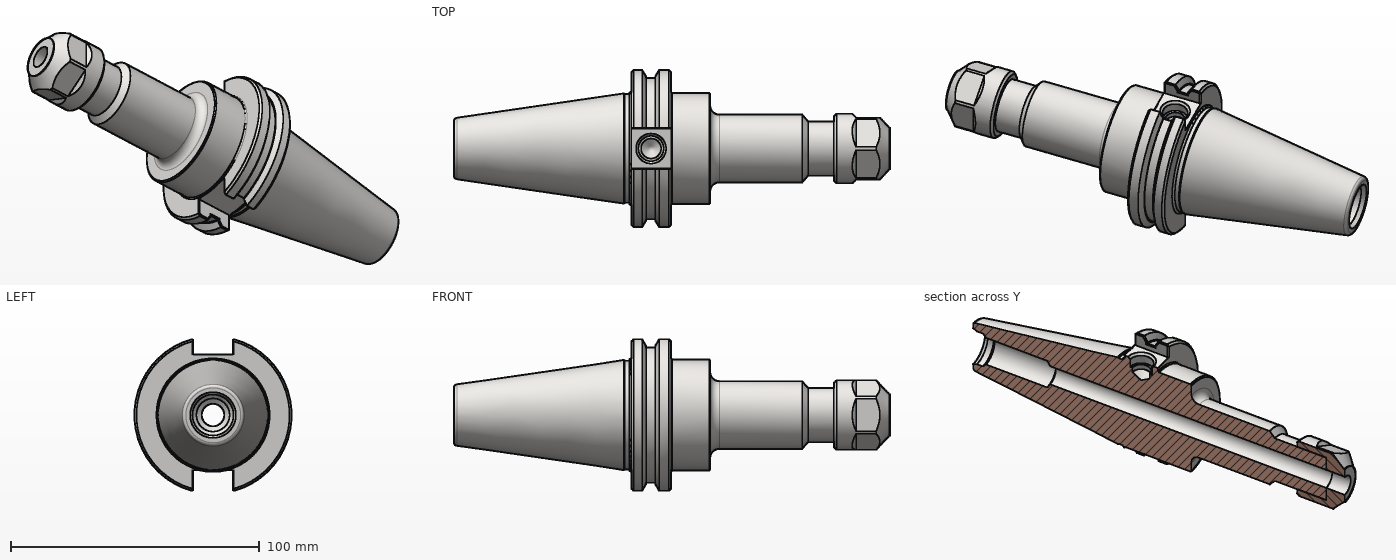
import cadquery as cq
import math

overall_length = 175.5

gauge_diameter = 44.4
taper_length = 68.3
taper_ratio = 7 / 24
taper_edge_fillet = 1.2

relief_diameter = 43.9
relief_start = 68.8
relief_fillet = 0.9

flange_diameter = 63.3
flange_start = 71.4
flange_width = 16.0
flange_end = flange_start + flange_width
flange_chamfer = 0.9
groove_center = 79.1
groove_mouth_width = 6.8
groove_floor_width = 3.7
groove_floor_diameter = 57.0
groove_flank_depth = 2.6

shoulder_diameter = 44.7
shoulder_end = 103.2
shoulder_root_fillet = 0.5
shoulder_chamfer = 0.5
shank_diameter = 27.4
shank_root_fillet = 3.5
shank_end = 142.5
shank_chamfer_length = 2.5
neck_diameter = 22.0
neck_end = 166.7

slot_width = 15.8
slot_edge_chamfer = 0.5
top_slot_floor = 24.4
bottom_slot_floor = 22.3

mouth_diameter = 18.5
mouth_depth = 2.0
counterbore_diameter = 16.5
counterbore_depth = 4.7
thread_lead_depth = 6.1
thread_bore_diameter = 13.3
thread_bore_depth = 35.1
through_diameter = 9.0
drill_half_angle = math.radians(59)

screw_x = 79.3
screw_mouth_diameter = 12.1
screw_hole_diameter = 10.2
screw_hole_depth = 4.7
screw_pilot_diameter = 8.0
screw_pilot_depth = 7.0

nut_diameter = 28.0
nut_start = 152.8
nut_back_chamfer = 1.0
nut_cone_start = 169.8
nut_front_diameter = 16.8
nut_front_land = 0.4
hex_across_flats = 25.0
hex_start = 161.8
hex_count = 6
hex_turn = 360 / hex_count
cutter_clearance = 1.8


def revolve_about_x(profile):
    """Turn a closed (x, radius) outline about the X axis."""
    return profile.close().revolve(360, (0, 0, 0), (1, 0, 0))


def drill_point(radius):
    """Length of a drill point that narrows by the given radius."""
    return radius / math.tan(drill_half_angle)


def turned_holder():
    gauge_radius = gauge_diameter / 2
    small_end_radius = gauge_radius - taper_length * taper_ratio / 2
    relief_radius = relief_diameter / 2
    flange_radius = flange_diameter / 2
    groove_floor_radius = groove_floor_diameter / 2
    groove_step_radius = flange_radius - groove_flank_depth
    shoulder_radius = shoulder_diameter / 2
    shank_radius = shank_diameter / 2
    neck_radius = neck_diameter / 2
    edge_start_radius = small_end_radius - taper_edge_fillet
    edge_end_radius = small_end_radius + taper_edge_fillet * taper_ratio / 2
    profile = (
        cq.Workplane("XY")
        .moveTo(0, 0)
        .lineTo(0, edge_start_radius)
        .tangentArcPoint((taper_edge_fillet, edge_end_radius), relative=False)
        .lineTo(taper_length, gauge_radius)
        .lineTo(relief_start, relief_radius)
        .lineTo(flange_start - relief_fillet, relief_radius)
        .radiusArc((flange_start, relief_radius + relief_fillet), relief_fillet)
        .lineTo(flange_start, flange_radius - flange_chamfer)
        .lineTo(flange_start + flange_chamfer, flange_radius)
        .lineTo(groove_center - groove_mouth_width / 2, flange_radius)
        .lineTo(groove_center - groove_floor_width / 2, groove_step_radius)
        .lineTo(groove_center - groove_floor_width / 2, groove_floor_radius)
        .lineTo(groove_center + groove_floor_width / 2, groove_floor_radius)
        .lineTo(groove_center + groove_floor_width / 2, groove_step_radius)
        .lineTo(groove_center + groove_mouth_width / 2, flange_radius)
        .lineTo(flange_end - flange_chamfer, flange_radius)
        .lineTo(flange_end, flange_radius - flange_chamfer)
        .lineTo(flange_end, shoulder_radius + shoulder_root_fillet)
        .radiusArc((flange_end + shoulder_root_fillet, shoulder_radius), -shoulder_root_fillet)
        .lineTo(shoulder_end - shoulder_chamfer, shoulder_radius)
        .lineTo(shoulder_end, shoulder_radius - shoulder_chamfer)
        .lineTo(shoulder_end, shank_radius + shank_root_fillet)
        .radiusArc((shoulder_end + shank_root_fillet, shank_radius), -shank_root_fillet)
        .lineTo(shank_end - shank_chamfer_length, shank_radius)
        .lineTo(shank_end, neck_radius)
        .lineTo(neck_end, neck_radius)
        .lineTo(neck_end, 0)
    )
    return revolve_about_x(profile)


def cut_drive_slots(holder):
    """Cut both slots and break every edge of their walls except those at the floors."""
    cutter_height = flange_diameter / 2
    for floor_height, layer in ((top_slot_floor, 0), (-bottom_slot_floor, -cutter_height)):
        cutter = cq.Workplane("XY").box(flange_width, slot_width, cutter_height, centered=(False, True, False))
        holder = holder.cut(cutter.translate((flange_start, 0, floor_height + layer)))

    def is_open_edge(edge):
        height = edge.Center().z
        return not (math.isclose(height, top_slot_floor) or math.isclose(height, -bottom_slot_floor))

    return holder.faces("|Y").edges().filter(is_open_edge).chamfer(slot_edge_chamfer)


def rear_bore():
    thread_radius = thread_bore_diameter / 2
    through_radius = through_diameter / 2
    profile = (
        cq.Workplane("XY")
        .moveTo(0, 0)
        .lineTo(0, mouth_diameter / 2)
        .lineTo(mouth_depth, counterbore_diameter / 2)
        .lineTo(counterbore_depth, counterbore_diameter / 2)
        .lineTo(thread_lead_depth, thread_radius)
        .lineTo(thread_bore_depth, thread_radius)
        .lineTo(thread_bore_depth + drill_point(thread_radius - through_radius), through_radius)
        .lineTo(neck_end, through_radius)
        .lineTo(neck_end, 0)
    )
    return revolve_about_x(profile)


def screw_hole():
    mouth_radius = screw_mouth_diameter / 2
    hole_radius = screw_hole_diameter / 2
    pilot_radius = screw_pilot_diameter / 2
    profile = (
        cq.Workplane("XZ")
        .moveTo(0, 0)
        .lineTo(mouth_radius, 0)
        .lineTo(hole_radius, hole_radius - mouth_radius)
        .lineTo(hole_radius, -screw_hole_depth)
        .lineTo(pilot_radius, -screw_hole_depth)
        .lineTo(pilot_radius, -screw_pilot_depth)
        .lineTo(0, -screw_pilot_depth - drill_point(pilot_radius))
        .close()
    )
    return profile.revolve(360, (0, 0, 0), (0, 1, 0)).translate((screw_x, 0, top_slot_floor))


def make_holder():
    return cut_drive_slots(turned_holder()).cut(rear_bore()).cut(screw_hole())


def hex_flat_cutter():
    """Cutter above one flat, with a 45 degree run-out at its rear end."""
    flat_height = hex_across_flats / 2
    run_out = nut_diameter / 2 - flat_height + cutter_clearance
    return (
        cq.Workplane("XZ")
        .moveTo(hex_start, flat_height)
        .lineTo(hex_start - run_out, flat_height + run_out)
        .lineTo(overall_length, flat_height + run_out)
        .lineTo(overall_length, flat_height)
        .close()
        .extrude(nut_diameter / 2, both=True)
    )


def make_nut():
    nut_radius = nut_diameter / 2
    neck_radius = neck_diameter / 2
    front_radius = nut_front_diameter / 2
    through_radius = through_diameter / 2
    profile = (
        cq.Workplane("XY")
        .moveTo(nut_start, neck_radius)
        .lineTo(nut_start, nut_radius - nut_back_chamfer)
        .lineTo(nut_start + nut_back_chamfer, nut_radius)
        .lineTo(nut_cone_start, nut_radius)
        .lineTo(overall_length - nut_front_land, front_radius)
        .lineTo(overall_length, front_radius)
        .lineTo(overall_length, through_radius)
        .lineTo(neck_end, through_radius)
        .lineTo(neck_end, neck_radius)
    )
    nut = revolve_about_x(profile)
    for index in range(hex_count):
        angle = hex_turn * (index + 0.5)
        nut = nut.cut(hex_flat_cutter().rotate((0, 0, 0), (1, 0, 0), angle))
    return nut


holder = make_holder()
nut = make_nut()

result = cq.Compound.makeCompound([holder.val(), nut.val()])